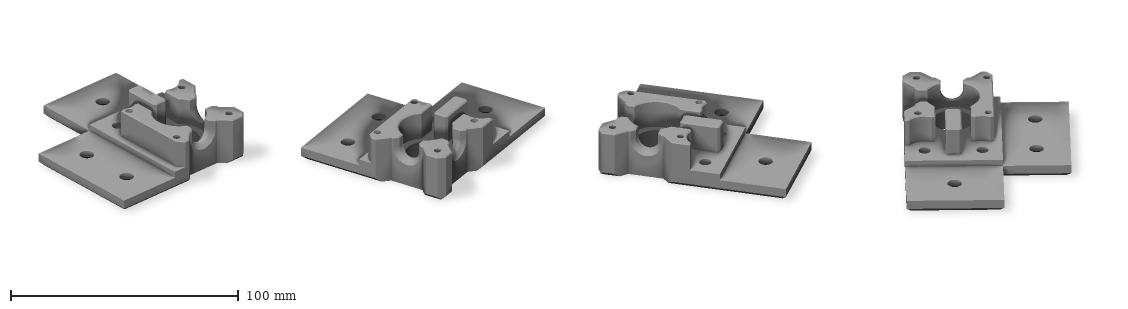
import cadquery as cq
import math

LENGTH = 86.0
WIDTH = 73.0
HEIGHT = 22.0

FLAP = 30.0
PLATE_TOP = 6.0
STEP_TOP = 9.0
BOTTOM_CHAMFER = 2.0

FLAP_HOLE_D = 6.4
FLAP_SINK_D = 12.6
FLAP_SINK_DEPTH = 3.0
FLAP_HOLE_INSET = FLAP / 2
FRONT_HOLES_X = (45.0, 70.95)

CENTER_X = 65.0
CENTER_Y = (FLAP + WIDTH) / 2
BORE_D = 18.0
SEAT_D = 24.0
TOP_CHAMFER = 0.5
CORNER_CHAMFER = 2.75
REACH_X = LENGTH - CENTER_X
REACH_Y = WIDTH - CENTER_Y
FRONT_REACH = 18.0
CHANNEL_HALF = 7.8
TOWER_LEFT = 46.95

PILOT_D = 3.3
PILOT_SPACING = 31.0
PILOT_DEPTH = HEIGHT - STEP_TOP
STEP_HOLE_D = 5.3
STEP_HOLE_DEPTH = 6.0
STEP_HOLE_X = 39.05
STEP_HOLE_OFFSET = 12.7
CLEARANCE_R = 8.0
ARC_INNER = 3.3
ARC_OUTER = 3.6
ARC_BACK = 6.5

NOTCH_DEPTH = 5.0
NOTCH_HALF = 8.0
OPENING_R = 5.0
OPENING_AXIS_Z = 17.2
OPENING_CHAMFER = 2.0

RIB_LEFT = 35.0
RIB_RIGHT = 53.3
RIB_WIDTH = 7.1
RIB_CORNER = 1.0


def block(x0, x1, y0, y1, z0, z1):
    """Box between two opposite corners."""
    return cq.Workplane("XY").box(x1 - x0, y1 - y0, z1 - z0, centered=False).translate((x0, y0, z0))


def pegs(points, diameter, z0, z1):
    """Vertical cylinders at the given points."""
    return cq.Workplane("XY").workplane(offset=z0).pushPoints(points).circle(diameter / 2).extrude(z1 - z0)


def make_base():
    """Chamfered L-shaped plate with the raised step on top."""
    outline = [(0, FLAP), (FLAP, FLAP), (FLAP, 0), (LENGTH, 0), (LENGTH, WIDTH), (0, WIDTH)]
    plate = cq.Workplane("XY").polyline(outline).close().extrude(PLATE_TOP)
    plate = plate.faces("<Z").edges().chamfer(BOTTOM_CHAMFER)
    return plate.union(block(FLAP, LENGTH, FLAP, WIDTH, PLATE_TOP, STEP_TOP))


def clearance_arc(offset):
    """X of the clearance circle at a Y distance from its step hole."""
    return STEP_HOLE_X + math.sqrt(CLEARANCE_R**2 - offset**2)


def make_towers():
    """Tower block around the bore, open on the left along the rib channel."""
    hole_front = CENTER_Y - STEP_HOLE_OFFSET
    hole_back = CENTER_Y + STEP_HOLE_OFFSET
    front = CENTER_Y - FRONT_REACH
    outline = (
        cq.Workplane("XY").workplane(offset=STEP_TOP)
        .moveTo(TOWER_LEFT, front)
        .lineTo(LENGTH - CORNER_CHAMFER, front)
        .lineTo(LENGTH, front + CORNER_CHAMFER)
        .lineTo(LENGTH, WIDTH)
        .lineTo(clearance_arc(ARC_BACK), WIDTH)
        .lineTo(clearance_arc(ARC_BACK), hole_back + ARC_BACK)
        .threePointArc((clearance_arc(0), hole_back), (clearance_arc(ARC_INNER), hole_back - ARC_INNER))
        .lineTo(TOWER_LEFT, CENTER_Y + CHANNEL_HALF)
        .lineTo(CENTER_X, CENTER_Y + CHANNEL_HALF)
        .lineTo(CENTER_X, CENTER_Y - CHANNEL_HALF)
        .lineTo(TOWER_LEFT, CENTER_Y - CHANNEL_HALF)
        .lineTo(clearance_arc(ARC_INNER), hole_front + ARC_INNER)
        .threePointArc((clearance_arc(0), hole_front), (clearance_arc(ARC_OUTER), hole_front - ARC_OUTER))
        .close()
    )
    return outline.extrude(HEIGHT - STEP_TOP)


def make_rib():
    """Rib with chamfered corners, its seat end hollowed to the seat circle."""
    seat = pegs([(CENTER_X, CENTER_Y)], SEAT_D, STEP_TOP, HEIGHT)
    rib = block(RIB_LEFT, RIB_RIGHT, CENTER_Y - RIB_WIDTH / 2, CENTER_Y + RIB_WIDTH / 2, STEP_TOP, HEIGHT)
    return rib.edges("|Z").chamfer(RIB_CORNER).cut(seat)


def place(shape, angle):
    """Turn a cutter made on +X about the bore axis and move it to the bore."""
    return shape.rotate((0, 0, 0), (0, 0, 1), angle).translate((CENTER_X, CENTER_Y, 0))


def make_notch(reach, angle):
    """Flared notch through the full height, cut into the side at the given reach."""
    floor = reach - NOTCH_DEPTH
    mouth_half = NOTCH_HALF + NOTCH_DEPTH
    outline = [(floor, -NOTCH_HALF), (reach, -mouth_half), (reach, mouth_half), (floor, NOTCH_HALF)]
    return place(cq.Workplane("XY").polyline(outline).close().extrude(HEIGHT), angle)


def make_opening(reach, angle):
    """U-shaped opening from the seat to the notch floor, chamfered at its outer end."""
    outer_face = reach - NOTCH_DEPTH

    def profile(x):
        return (
            cq.Workplane("YZ").workplane(offset=x)
            .moveTo(-OPENING_R, HEIGHT + OPENING_R)
            .lineTo(-OPENING_R, OPENING_AXIS_Z)
            .threePointArc((0, OPENING_AXIS_Z - OPENING_R), (OPENING_R, OPENING_AXIS_Z))
            .lineTo(OPENING_R, HEIGHT + OPENING_R)
            .close()
        )

    flare = profile(outer_face - OPENING_CHAMFER).extrude(OPENING_CHAMFER, taper=-45)
    return place(profile(0).extrude(outer_face).union(flare), angle)


def make_flap_holes():
    """Flap holes with a conical countersink on the underside."""
    points = [(x, FLAP_HOLE_INSET) for x in FRONT_HOLES_X] + [(FLAP_HOLE_INSET, CENTER_Y)]
    cutter = pegs(points, FLAP_HOLE_D, 0, PLATE_TOP)
    for x, y in points:
        cone = cq.Solid.makeCone(FLAP_SINK_D / 2, FLAP_HOLE_D / 2, FLAP_SINK_DEPTH)
        cutter = cutter.union(cq.Workplane("XY").add(cone.translate(cq.Vector(x, y, 0))))
    return cutter


def make_back_corner():
    """Waste of the chamfer on the back right vertical edge."""
    points = [(LENGTH - CORNER_CHAMFER, WIDTH), (LENGTH, WIDTH), (LENGTH, WIDTH - CORNER_CHAMFER)]
    return cq.Workplane("XY").polyline(points).close().extrude(HEIGHT)


SIDES = ((REACH_X, 0), (REACH_Y, 90))

base = make_base().cut(make_back_corner())
upper = make_towers().cut(pegs([(CENTER_X, CENTER_Y)], SEAT_D, STEP_TOP, HEIGHT))
upper = upper.union(make_rib()).cut(make_back_corner())
for reach, angle in SIDES:
    base = base.cut(make_notch(reach, angle))
    upper = upper.cut(make_notch(reach, angle)).cut(make_opening(reach, angle))
upper = upper.faces(">Z").edges().chamfer(TOP_CHAMFER)
result = base.union(upper)

half_pilot = PILOT_SPACING / 2
step_holes = [(STEP_HOLE_X, CENTER_Y + side * STEP_HOLE_OFFSET) for side in (-1, 1)]
pilots = [(CENTER_X + i * half_pilot, CENTER_Y + j * half_pilot) for i in (-1, 1) for j in (-1, 1)]
result = result.cut(pegs([(CENTER_X, CENTER_Y)], BORE_D, 0, STEP_TOP))
result = result.cut(pegs(step_holes, STEP_HOLE_D, STEP_TOP - STEP_HOLE_DEPTH, STEP_TOP))
result = result.cut(pegs(pilots, PILOT_D, HEIGHT - PILOT_DEPTH, HEIGHT))
result = result.cut(make_flap_holes())